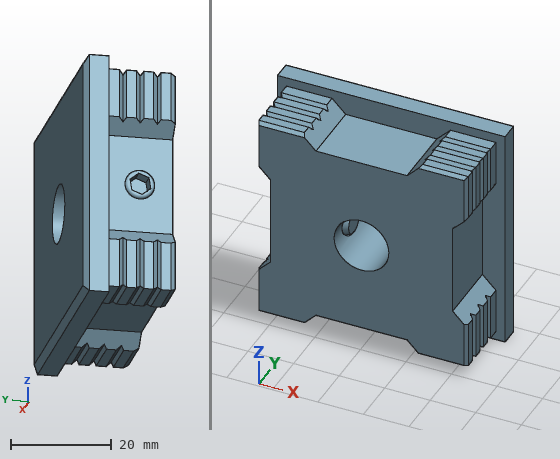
import cadquery as cq
import math

flange_side = 50.0
flange_thickness = 5.0
flange_chamfer_depth = 1.0
flange_chamfer_inset = 1.5

plug_side = 46.0
plug_length = 14.0
plug_chamfer_depth = 1.0
plug_chamfer_inset = 0.5
bore_diameter = 12.0

recess_depth = 3.0
recess_floor_width = 20.0
recess_mouth_width = recess_floor_width + 2 * recess_depth

groove_count = 3
groove_pitch = 3.5
groove_start = 2.5
groove_depth = 0.75
groove_long_flank = 0.9
groove_short_flank = 0.6

screw_diameter = 6.0
screw_length = 15.8
screw_setback = 7.3
screw_protrusion = 0.6
screw_head_radius = 0.55
screw_tip_length = 1.2
screw_tip_inset = 0.55
socket_across_flats = 3.9
socket_depth = 3.0
socket_turn = 21.0

flange_inner_y = 0.0
flange_outer_y = flange_inner_y + flange_thickness
plug_face_y = flange_inner_y - plug_length
screw_y = flange_inner_y - screw_setback
screw_head_x = -(plug_side / 2 - recess_depth + screw_protrusion)


def square_section(side, y):
    """Square wire centred on the Y axis."""
    half = side / 2
    corners = [(-half, -half), (half, -half), (half, half), (-half, half)]
    return cq.Wire.makePolygon([cq.Vector(x, y, z) for x, z in corners], close=True)


def square_taper(side_a, y_a, side_b, y_b):
    """Square prism or frustum between two places along Y."""
    sections = [square_section(side_a, y_a), square_section(side_b, y_b)]
    return cq.Workplane(obj=cq.Solid.makeLoft(sections, True))


def make_flange():
    shoulder_y = flange_outer_y - flange_chamfer_depth
    outer_side = flange_side - 2 * flange_chamfer_inset
    slab = square_taper(flange_side, flange_inner_y, flange_side, shoulder_y)
    return slab.union(square_taper(flange_side, shoulder_y, outer_side, flange_outer_y))


def make_plug_block():
    shoulder_y = plug_face_y + plug_chamfer_depth
    face_side = plug_side - 2 * plug_chamfer_inset
    block = square_taper(plug_side, flange_inner_y, plug_side, shoulder_y)
    return block.union(square_taper(plug_side, shoulder_y, face_side, plug_face_y))


def groove_ring(start_y):
    """Square ring with a V section that cuts one groove all round the plug."""
    apex_y = start_y - groove_long_flank
    end_y = apex_y - groove_short_flank
    apex_side = plug_side - 2 * groove_depth
    ring = square_taper(plug_side, start_y, plug_side, end_y)
    ring = ring.cut(square_taper(plug_side, start_y, apex_side, apex_y))
    return ring.cut(square_taper(apex_side, apex_y, plug_side, end_y))


def side_recess(angle):
    """Trapezoidal channel along the plug, turned about Y to one of its sides."""
    half_floor = recess_floor_width / 2
    half_mouth = recess_mouth_width / 2
    mouth = plug_side / 2
    floor = mouth - recess_depth
    outline = [(-half_floor, floor), (half_floor, floor), (half_mouth, mouth), (-half_mouth, mouth)]
    channel = cq.Workplane("XZ", origin=(0, flange_inner_y, 0)).polyline(outline).close().extrude(plug_length)
    return channel.rotate((0, 0, 0), (0, 1, 0), angle)


def screw_blank():
    """Plain cylinder as long as the set screw; also the hole that it fits in."""
    start = cq.Workplane("YZ", origin=(screw_head_x, screw_y, 0))
    return start.circle(screw_diameter / 2).extrude(screw_length)


def screw_envelope():
    """Turned outline that tapers the free tip of the set screw."""
    radius = screw_diameter / 2
    tip_x = screw_head_x + screw_length
    outline = [
        (screw_head_x, 0),
        (screw_head_x, radius),
        (tip_x - screw_tip_length, radius),
        (tip_x, radius - screw_tip_inset),
        (tip_x, 0),
    ]
    profile = cq.Workplane("XY", origin=(0, screw_y, 0)).polyline(outline).close()
    return profile.revolve(360, (0, 0, 0), (1, 0, 0))


def make_end_cap():
    plug = make_plug_block()
    for index in range(groove_count):
        plug = plug.cut(groove_ring(flange_inner_y - groove_start - index * groove_pitch))
    for side in range(4):
        plug = plug.cut(side_recess(90 * side))
    cap = make_flange().union(plug)
    bore = cq.Workplane("XZ", origin=(0, flange_outer_y, 0)).circle(bore_diameter / 2)
    cap = cap.cut(bore.extrude(flange_thickness + plug_length))
    return cap.cut(screw_blank())


def make_set_screw():
    screw = screw_blank().faces("<X").edges().fillet(screw_head_radius)
    screw = screw.intersect(screw_envelope())
    across_corners = socket_across_flats / math.cos(math.radians(30))
    head_plane = cq.Workplane("YZ", origin=(screw_head_x, screw_y, 0))
    socket = head_plane.polygon(6, across_corners).extrude(socket_depth)
    socket = socket.rotate((0, screw_y, 0), (1, screw_y, 0), socket_turn)
    return screw.cut(socket)


end_cap = make_end_cap()
set_screw = make_set_screw()
result = cq.Compound.makeCompound([end_cap.val(), set_screw.val()])